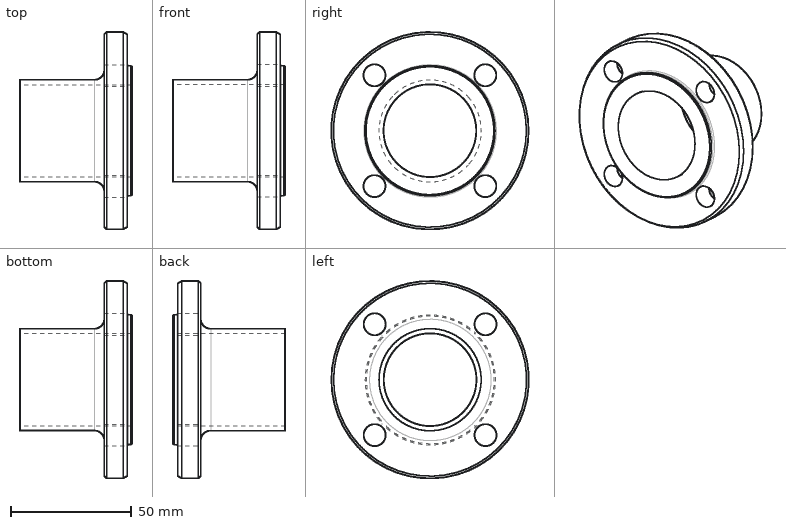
import cadquery as cq

total_length = 46.5
flange_diameter = 82.0
flange_thickness = 9.6
face_diameter = 54.0
face_height = 2.0
tube_diameter = 42.4
bore_diameter = 38.4

neck_fillet = 4.0
back_chamfer = 1.0
front_chamfer_length = 1.7
front_chamfer_depth = 1.0
face_fillet = 0.5
face_chamfer = 0.5

bolt_count = 4
bolt_hole_diameter = 9.0
bolt_circle_diameter = 65.0
first_bolt_angle = 45.0

flange_front = total_length - face_height
flange_back = flange_front - flange_thickness


def disc(diameter, start, end):
    """Solid cylinder on the X axis between two axial positions."""
    return cq.Workplane("YZ", origin=(start, 0, 0)).circle(diameter / 2).extrude(end - start)


def flange_blank():
    """Revolved half-outline of the chamfered flange, with filleted neck and raised face."""
    tube_radius = tube_diameter / 2
    flange_radius = flange_diameter / 2
    face_radius = face_diameter / 2
    diagonal = 0.5 ** 0.5
    neck_mid = (
        flange_back - neck_fillet * (1 - diagonal),
        tube_radius + neck_fillet * (1 - diagonal),
    )
    face_mid = (
        flange_front + face_fillet * (1 - diagonal),
        face_radius + face_fillet * (1 - diagonal),
    )
    outline = (
        cq.Workplane("XY")
        .lineTo(0, tube_radius)
        .lineTo(flange_back - neck_fillet, tube_radius)
        .threePointArc(neck_mid, (flange_back, tube_radius + neck_fillet))
        .lineTo(flange_back, flange_radius - back_chamfer)
        .lineTo(flange_back + back_chamfer, flange_radius)
        .lineTo(flange_front - front_chamfer_length, flange_radius)
        .lineTo(flange_front, flange_radius - front_chamfer_depth)
        .lineTo(flange_front, face_radius + face_fillet)
        .threePointArc(face_mid, (flange_front + face_fillet, face_radius))
        .lineTo(total_length - face_chamfer, face_radius)
        .lineTo(total_length, face_radius - face_chamfer)
        .lineTo(total_length, 0)
        .close()
    )
    return outline.revolve(360, (0, 0, 0), (1, 0, 0))


def bolt_holes():
    """Through-hole cutters spaced evenly around the bolt circle."""
    return (
        cq.Workplane("YZ", origin=(flange_back, 0, 0))
        .polarArray(bolt_circle_diameter / 2, first_bolt_angle, 360, bolt_count)
        .circle(bolt_hole_diameter / 2)
        .extrude(flange_thickness)
    )


bore = disc(bore_diameter, 0, total_length)
result = flange_blank().cut(bore).cut(bolt_holes())